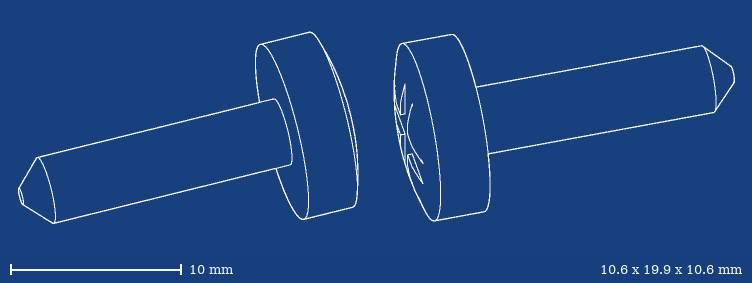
import cadquery as cq
import math

total_length = 19.87

head_diameter = 10.6
head_rim_height = 3.0
dome_height = 0.85
dome_flat_diameter = 4.0
slot_width = 1.69
slot_depth = 0.28

shank_diameter = 4.0
tip_diameter = 1.0
tip_length = (shank_diameter - tip_diameter) / 2

dome_top = total_length
dome_base = dome_top - dome_height
head_underside = dome_base - head_rim_height

head_radius = head_diameter / 2
flat_radius = dome_flat_diameter / 2
center_depth = (head_radius**2 - flat_radius**2 - dome_height**2) / (2 * dome_height)
sphere_radius = math.hypot(head_radius, center_depth)
sphere_center = dome_base - center_depth


def point_on_dome(radius):
    """Profile point on the dome at the given distance from the axis."""
    return (radius, sphere_center + math.sqrt(sphere_radius**2 - radius**2))


def make_body():
    """Revolve the half profile of shank, head and dome around Y."""
    profile = (
        cq.Workplane("XY")
        .lineTo(tip_diameter / 2, 0)
        .lineTo(shank_diameter / 2, tip_length)
        .lineTo(shank_diameter / 2, head_underside)
        .lineTo(head_radius, head_underside)
        .lineTo(head_radius, dome_base)
        .threePointArc(point_on_dome((head_radius + flat_radius) / 2), (flat_radius, dome_top))
        .lineTo(0, dome_top)
        .close()
    )
    return profile.revolve(360, (0, 0, 0), (0, 1, 0))


def make_slot(length_x, length_z):
    """Straight slot running right across the head, centred on its top face."""
    slot = cq.Workplane("XY").box(length_x, 2 * slot_depth, length_z)
    return slot.translate((0, dome_top, 0))


result = (
    make_body()
    .cut(make_slot(head_diameter, slot_width))
    .cut(make_slot(slot_width, head_diameter))
)